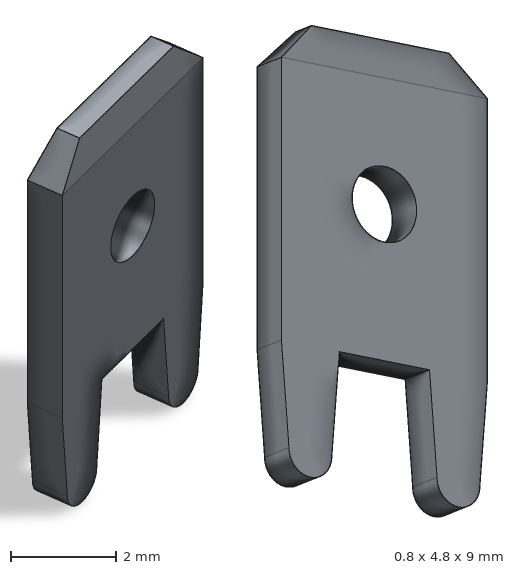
import cadquery as cq
import math

THICKNESS = 0.8
WIDTH = 4.8
HEIGHT = 9.0

TIP_HEIGHT = 0.8
TIP_CORNER = TIP_HEIGHT
TIP_FACE_ANGLE = 10.0

HOLE_DIAMETER = 1.5
HOLE_Z = 5.7

LEG_LENGTH = 2.6
LEG_ROOT_WIDTH = 1.35
LEG_END_RADIUS = 0.5

half_width = WIDTH / 2
leg_center = half_width - LEG_ROOT_WIDTH / 2


def make_blade():
    """Plate above the legs, with the two top corners cut off."""
    shoulder_z = HEIGHT - TIP_HEIGHT
    tip_half_width = half_width - TIP_CORNER
    return (
        cq.Workplane("YZ")
        .moveTo(-half_width, LEG_LENGTH)
        .lineTo(half_width, LEG_LENGTH)
        .lineTo(half_width, shoulder_z)
        .lineTo(tip_half_width, HEIGHT)
        .lineTo(-tip_half_width, HEIGHT)
        .lineTo(-half_width, shoulder_z)
        .close()
        .extrude(THICKNESS / 2, both=True)
    )


def make_leg(center_y):
    """Tapered leg with a semicircular end resting on Z = 0."""
    root_half = LEG_ROOT_WIDTH / 2
    return (
        cq.Workplane("YZ")
        .moveTo(center_y - root_half, LEG_LENGTH)
        .lineTo(center_y - LEG_END_RADIUS, LEG_END_RADIUS)
        .threePointArc((center_y, 0), (center_y + LEG_END_RADIUS, LEG_END_RADIUS))
        .lineTo(center_y + root_half, LEG_LENGTH)
        .close()
        .extrude(THICKNESS / 2, both=True)
    )


def make_tip_bevel(side):
    """Wedge that slopes one broad face (side = -1 or +1) toward the tip."""
    depth = TIP_HEIGHT * math.tan(math.radians(TIP_FACE_ANGLE))
    face_x = side * THICKNESS / 2
    return (
        cq.Workplane("XZ")
        .moveTo(face_x, HEIGHT - TIP_HEIGHT)
        .lineTo(face_x, HEIGHT)
        .lineTo(face_x - side * depth, HEIGHT)
        .close()
        .extrude(half_width, both=True)
    )


def make_hole():
    """Cylinder through the full thickness."""
    return (
        cq.Workplane("YZ")
        .center(0, HOLE_Z)
        .circle(HOLE_DIAMETER / 2)
        .extrude(THICKNESS, both=True)
    )


terminal = make_blade()
for side in (-1, 1):
    terminal = terminal.union(make_leg(side * leg_center))
    terminal = terminal.cut(make_tip_bevel(side))

result = terminal.cut(make_hole())